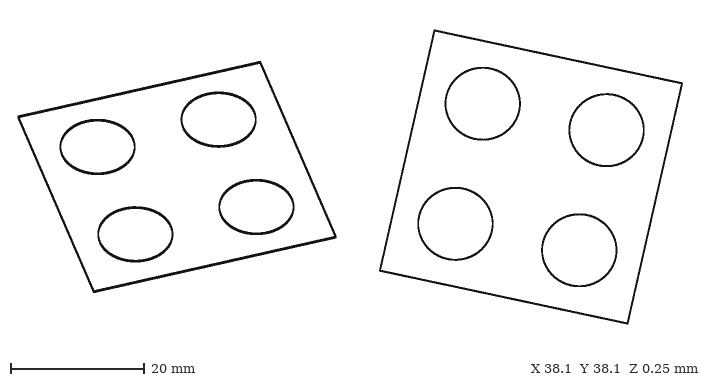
import cadquery as cq

plate_side = 38.1
plate_thickness = 0.25

holes_per_side = 2
hole_diameter = 11.15
hole_pitch = plate_side / holes_per_side

plate = cq.Workplane("XY").box(plate_side, plate_side, plate_thickness)

result = (
    plate.faces(">Z")
    .workplane()
    .rarray(hole_pitch, hole_pitch, holes_per_side, holes_per_side)
    .hole(hole_diameter)
)